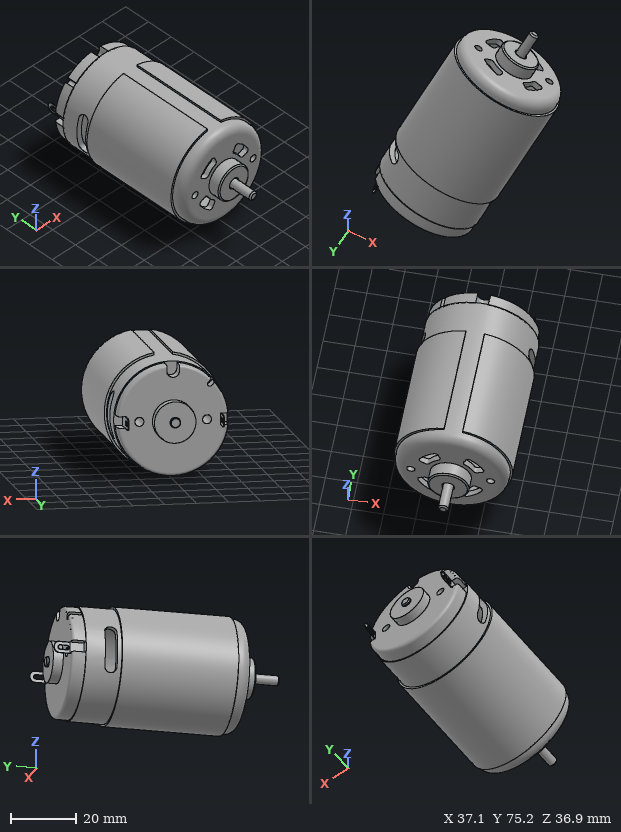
import cadquery as cq
import math


CAN_DIAMETER = 35.7
CAN_BORE = 31.7
CAN_WALL = (CAN_DIAMETER - CAN_BORE) / 2
CAN_LENGTH = 52.6
CAN_FRONT_FILLET = 3.0

SLEEVE_DIAMETER = 37.1
SLEEVE_START = 4.35
SLEEVE_END = 41.25
SLEEVE_GAP = 5.8

WINDOW_Y = 44.55
WINDOW_WIDTH = 3.9
WINDOW_HEIGHT = 14.8

VENT_COUNT = 4
VENT_INNER_RADIUS = 8.05
VENT_OUTER_RADIUS = 11.5
VENT_FIRST_ANGLE = 42.5
VENT_SPAN = 40.5
VENT_CORNER_RADIUS = 1.0
SCREW_HOLE_DIAMETER = 2.5
SCREW_HOLE_X = 12.5

FRONT_BOSS_DIAMETER = 12.9
FRONT_BOSS_LENGTH = 4.4
FRONT_BOSS_CHAMFER = 0.45
REAR_BOSS_DIAMETER = 13.0
REAR_BOSS_LENGTH = 3.15
SHAFT_DIAMETER = 3.2
SHAFT_BORE = 4.0
SHAFT_BORE_DEPTH = 1.5
SHAFT_FRONT_Y = -13.15
SHAFT_REAR_LENGTH = 0.8
FRONT_TIP_CHAMFER = 0.5
REAR_TIP_CHAMFER_RADIAL = 0.2
REAR_TIP_CHAMFER_AXIAL = 0.45

CAP_DIAMETER = 34.9
CAP_RADIUS = CAP_DIAMETER / 2
CAP_HEIGHT = 4.35
CAP_FILLET = 1.0
CAP_PLUG_DEPTH = 5.25
CAP_END = CAN_LENGTH + CAP_HEIGHT
TOP_NOTCH_WIDTH = 3.9
TOP_NOTCH_DEPTH = 3.9
SIDE_NOTCH_WIDTH = 1.5
SIDE_NOTCH_DEPTH = 2.25
SIDE_NOTCH_ANGLE = 136
CAP_HOLE_DIAMETER = 2.8
CAP_HOLE_X = 10.6

TERMINAL_X = 14.95
TERMINAL_THICKNESS = 0.3
TERMINAL_WIDTH = 3.6
TERMINAL_END = 62.0
TERMINAL_CORNER_RADIUS = 1.5
TERMINAL_SLOT_LENGTH = 3.45
TERMINAL_SLOT_WIDTH = 1.4
TERMINAL_SLOT_Y = 59.05


def cylinder(diameter, y_start, y_end, x=0):
    """Cylinder along Y between two Y positions."""
    base = cq.Workplane("XZ", origin=(x, y_start, 0))
    return base.circle(diameter / 2).extrude(y_start - y_end)


def box(x_range, y_range, z_range):
    """Box given by its limits along each axis."""
    spans = [high - low for low, high in (x_range, y_range, z_range)]
    corner = (x_range[0], y_range[0], z_range[0])
    return cq.Workplane("XY").box(*spans, centered=False).translate(corner)


def polar(radius, angle):
    """Point in the XZ plane at an angle measured from +X towards +Z."""
    return radius * math.cos(math.radians(angle)), radius * math.sin(math.radians(angle))


def make_can():
    can = cylinder(CAN_DIAMETER, 0, CAN_LENGTH).faces("<Y").edges().fillet(CAN_FRONT_FILLET)
    return can.cut(cylinder(CAN_BORE, CAN_WALL, CAN_LENGTH))


def make_sleeve():
    sleeve = cylinder(SLEEVE_DIAMETER, SLEEVE_START, SLEEVE_END)
    sleeve = sleeve.cut(cylinder(CAN_DIAMETER, SLEEVE_START, SLEEVE_END))
    half_gap = SLEEVE_GAP / 2
    gap = box((-half_gap, half_gap), (SLEEVE_START, SLEEVE_END), (0, SLEEVE_DIAMETER))
    return sleeve.cut(gap)


def make_windows():
    """Upright slot running through both sides of the can."""
    return (
        cq.Workplane("YZ", origin=(0, WINDOW_Y, 0))
        .slot2D(WINDOW_HEIGHT, WINDOW_WIDTH, 90)
        .extrude(CAN_DIAMETER, both=True)
    )


def make_vent(angle):
    """Ring sector with rounded corners, centred on the given angle."""
    first = angle - VENT_SPAN / 2
    last = angle + VENT_SPAN / 2
    return (
        cq.Workplane("XZ")
        .moveTo(*polar(VENT_INNER_RADIUS, first))
        .lineTo(*polar(VENT_OUTER_RADIUS, first))
        .threePointArc(polar(VENT_OUTER_RADIUS, angle), polar(VENT_OUTER_RADIUS, last))
        .lineTo(*polar(VENT_INNER_RADIUS, last))
        .threePointArc(polar(VENT_INNER_RADIUS, angle), polar(VENT_INNER_RADIUS, first))
        .close()
        .extrude(-CAN_WALL)
        .edges("|Y")
        .fillet(VENT_CORNER_RADIUS)
    )


def make_cap_notch(width, depth, angle):
    """Radial notch in the cap rim with a half-round bottom."""
    bottom_centre = CAP_RADIUS - depth + width / 2
    round_bottom = cylinder(width, CAN_LENGTH, CAP_END, bottom_centre)
    straight_part = box(
        (bottom_centre, CAN_DIAMETER), (CAN_LENGTH, CAP_END), (-width / 2, width / 2)
    )
    return round_bottom.union(straight_part).rotate((0, 0, 0), (0, 1, 0), -angle)


def make_cap():
    cap = cylinder(CAP_DIAMETER, CAN_LENGTH, CAP_END).faces(">Y").edges().fillet(CAP_FILLET)
    cap = cap.union(cylinder(CAN_BORE, CAN_LENGTH - CAP_PLUG_DEPTH, CAN_LENGTH))
    cap = cap.cut(make_cap_notch(TOP_NOTCH_WIDTH, TOP_NOTCH_DEPTH, 90))
    cap = cap.cut(make_cap_notch(SIDE_NOTCH_WIDTH, SIDE_NOTCH_DEPTH, SIDE_NOTCH_ANGLE))
    floor_x = TERMINAL_X - TERMINAL_THICKNESS / 2
    half_width = TERMINAL_WIDTH / 2
    for side in (-1, 1):
        x_range = sorted((side * floor_x, side * CAN_DIAMETER))
        cap = cap.cut(box(x_range, (CAN_LENGTH, CAP_END), (-half_width, half_width)))
        hole_x = side * CAP_HOLE_X
        cap = cap.cut(cylinder(CAP_HOLE_DIAMETER, CAN_LENGTH - CAP_PLUG_DEPTH, CAP_END, hole_x))
    return cap


def make_terminal(side):
    """Flat tab with a rounded end and an eyelet; side is -1 or 1 along X."""
    half_thickness = TERMINAL_THICKNESS / 2
    half_width = TERMINAL_WIDTH / 2
    x_range = (side * TERMINAL_X - half_thickness, side * TERMINAL_X + half_thickness)
    tab = box(x_range, (CAN_LENGTH, TERMINAL_END), (-half_width, half_width))
    tab = tab.faces(">Y").edges("|X").fillet(TERMINAL_CORNER_RADIUS)
    eyelet = (
        cq.Workplane("YZ", origin=(side * TERMINAL_X, TERMINAL_SLOT_Y, 0))
        .slot2D(TERMINAL_SLOT_LENGTH, TERMINAL_SLOT_WIDTH)
        .extrude(TERMINAL_THICKNESS, both=True)
    )
    return tab.cut(eyelet)


def make_front_boss():
    """Front bearing boss with the shaft end standing in its bore."""
    boss = cylinder(FRONT_BOSS_DIAMETER, -FRONT_BOSS_LENGTH, 0)
    boss = boss.faces("<Y").edges().chamfer(FRONT_BOSS_CHAMFER)
    bore_end = SHAFT_BORE_DEPTH - FRONT_BOSS_LENGTH
    boss = boss.cut(cylinder(SHAFT_BORE, -FRONT_BOSS_LENGTH, bore_end))
    shaft = cylinder(SHAFT_DIAMETER, SHAFT_FRONT_Y, 0)
    return boss.union(shaft.faces("<Y").edges().chamfer(FRONT_TIP_CHAMFER))


def make_rear_boss():
    """Rear bearing boss with the short rear end of the shaft."""
    boss_end = CAP_END + REAR_BOSS_LENGTH
    boss = cylinder(REAR_BOSS_DIAMETER, CAP_END, boss_end)
    stub_end = boss_end + SHAFT_REAR_LENGTH
    stub = cylinder(SHAFT_DIAMETER, boss_end, stub_end - REAR_TIP_CHAMFER_AXIAL)
    tip = (
        cq.Workplane("XZ", origin=(0, stub_end - REAR_TIP_CHAMFER_AXIAL, 0))
        .circle(SHAFT_DIAMETER / 2)
        .workplane(offset=-REAR_TIP_CHAMFER_AXIAL)
        .circle(SHAFT_DIAMETER / 2 - REAR_TIP_CHAMFER_RADIAL)
        .loft()
    )
    return boss.union(stub).union(tip)


body = make_can().union(make_sleeve()).cut(make_windows())
for vent_index in range(VENT_COUNT):
    body = body.cut(make_vent(VENT_FIRST_ANGLE + vent_index * 360 / VENT_COUNT))
for hole_x in (-SCREW_HOLE_X, SCREW_HOLE_X):
    body = body.cut(cylinder(SCREW_HOLE_DIAMETER, 0, CAN_WALL, hole_x))

body = body.union(make_cap()).union(make_front_boss()).union(make_rear_boss())
for side in (-1, 1):
    body = body.union(make_terminal(side))

result = body